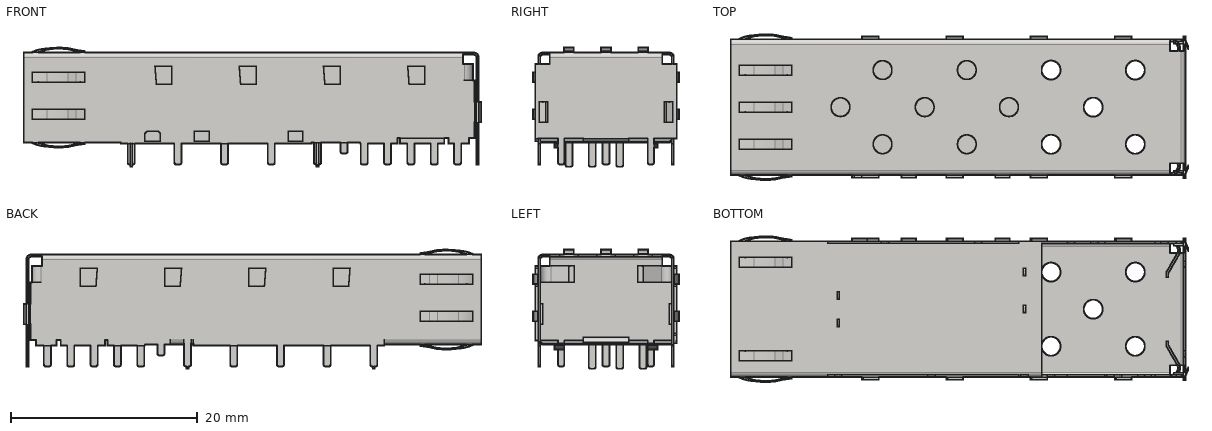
import cadquery as cq
import math

OVERALL_WIDTH = 15.65
OVERALL_HEIGHT = 12.8
SPRING_RISE = 0.55
SHEET = 0.25
FLOOR_SHEET = 0.15
HALF_WIDTH = OVERALL_WIDTH / 2 - SPRING_RISE
HEIGHT = 9.65
BEND_RADIUS = 0.55
WALL_END = 48.25
REAR_FACE = 48.7
FLOOR_END = 33.3

NOTCH_X = 47.05
NOTCH_HALF_WIDTH = 6.05
NOTCH_Z = 8.45
PLATE_HALF_WIDTH = 7.6
PLATE_BOTTOM = 0.45
FLAP_BOTTOM = 6.65
FLAP_RADIUS = 1.0
FLAP_LEAN = 30.0
FLAP_LENGTH = 2.25
FLAP_LIP = 0.45

LOCK_BOTTOM = 2.15
LOCK_TOP = 4.35
LOCK_START = 47.4
LOCK_TIP_X = 49.0
LOCK_TIP_Y = 6.2

SKIRT_Z = -0.1
SKIRT_SPANS = [(10.4, 30.8), (36.0, 40.02), (45.45, 47.65)]
RELIEF_SPANS = [(40.02, 45.45), (47.65, WALL_END)]
RELIEF_Z = 0.5
FAR_TAB_SPAN = (40.25, 45.0)

HOLE_DIAMETER = 2.0
HOLE_PITCH = 9.0
HOLE_COLUMNS = 4
SIDE_ROW_X = 16.25
SIDE_ROW_Y = 3.95
CENTRE_ROW_X = SIDE_ROW_X - HOLE_PITCH / 2

SPRING_WIDTH = 1.1
SPRING_SHEET = 0.15
SPRING_START = 0.95
SPRING_SHOULDER = 2.5
SPRING_PEAK = 3.7
SPRING_DROP = 4.7
SPRING_FOOT = 5.6
SPRING_END = 6.55
SPRING_SHOULDER_RISE = 0.45
SPRING_DROP_RISE = 0.5
SPRING_FOOT_RISE = 0.3
SPRING_CURVE = (1.55, 0.3)
TOP_SPRING_Y = [-SIDE_ROW_Y, 0, SIDE_ROW_Y]
SIDE_SPRING_Z = [3.05, 7.0]
BOTTOM_SPRING_Y = [-5.0, 5.0]

PAD_THICKNESS = 0.3
UPPER_PAD_X = 14.05
UPPER_PAD_WIDTH = 1.8
UPPER_PAD_TAPER = 0.15
UPPER_PAD_BOTTOM = 6.2
UPPER_PAD_TOP = 8.2
LOWER_PAD_BOTTOM = 0.15
LOWER_PAD_TOP = 1.22
LOWER_PAD_SPANS = [(13.0, 14.65), (18.25, 19.85), (28.3, 29.9)]
LOWER_PAD_CHAMFER = 0.25

PIN_WIDTH = 0.8
PIN_TIP_RADIUS = 0.25
PIN_BOTTOM = -2.35
LONG_PIN_BOTTOM = HEIGHT + SPRING_RISE - OVERALL_HEIGHT
SHORT_PIN_BOTTOM = -1.2
NEAR_PIN_X = [16.5, 26.5, 36.45, 38.95, 46.45]
FAR_PIN_X = [11.5, 21.5, 31.45, 41.45, 43.95]
SHORT_PIN_X = 34.3
FLOOR_PINS = [
    (11.5, -1.45, LONG_PIN_BOTTOM),
    (11.5, 1.45, LONG_PIN_BOTTOM),
    (31.45, 0.0, PIN_BOTTOM),
    (31.45, -SIDE_ROW_Y, LONG_PIN_BOTTOM),
]
REAR_PIN_Y = [-4.8, 4.8]
REAR_PIN_WIDTH = 0.7

TONGUE_HALF_WIDTH = 2.45
TONGUE_ROOT = 6.35
TONGUE_CREST = 2.2
TONGUE_TIP = 1.1
TONGUE_TOP = 0.8

OVERLAP = 0.1
CLEAR = 9.8


def block(x_span, y_span, z_span):
    """Box between the given limits on each axis."""
    spans = (x_span, y_span, z_span)
    sizes = [max(span) - min(span) for span in spans]
    corner = cq.Vector(*[min(span) for span in spans])
    return cq.Workplane(cq.Solid.makeBox(*sizes, pnt=corner))


def rounded_body(x_end, half_width, bottom, top, radius, x_start=0.0):
    """Bar along X with both top edges, the far bottom edge and the rear top edge rounded."""
    bar = block((x_start, x_end), (-half_width, half_width), (bottom, top))
    folded_rear = bar.edges("|Y and >X and >Z").fillet(radius)
    bar = bar.edges("|X and >Z").fillet(radius)
    bar = bar.edges("|X and <Z and >Y").fillet(radius)
    return bar.intersect(folded_rear)


def make_shell():
    """Square tube with a short floor, its top folded down into the rear plate."""
    inner_y = HALF_WIDTH - SHEET
    inner_radius = BEND_RADIUS - SHEET
    outer = rounded_body(REAR_FACE, HALF_WIDTH, 0, HEIGHT, BEND_RADIUS)
    inner = rounded_body(REAR_FACE - SHEET, inner_y, FLOOR_SHEET, HEIGHT - SHEET, inner_radius, x_start=-CLEAR)
    shell = outer.cut(inner)

    opening_x = (FLOOR_END, REAR_FACE + CLEAR)
    floor_opening = block(opening_x, (-inner_y, inner_y), (-CLEAR, FLOOR_SHEET))
    far_bend = block(opening_x, (inner_y - BEND_RADIUS, HALF_WIDTH), (-CLEAR, BEND_RADIUS))
    shell = shell.cut(floor_opening).cut(far_bend)
    far_wall_foot = block((FLOOR_END, WALL_END), (inner_y, HALF_WIDTH), (0, BEND_RADIUS))
    shell = shell.union(far_wall_foot)

    rear_gap = block((WALL_END, REAR_FACE - SHEET), (-CLEAR, CLEAR), (-CLEAR, NOTCH_Z))
    under_plate = block((WALL_END, REAR_FACE + CLEAR), (-CLEAR, CLEAR), (-CLEAR, PLATE_BOTTOM))
    shell = shell.cut(rear_gap).cut(under_plate)
    for side in (-1, 1):
        notch_y = (side * NOTCH_HALF_WIDTH, side * CLEAR)
        shell = shell.cut(block((NOTCH_X, REAR_FACE + CLEAR), notch_y, (NOTCH_Z, HEIGHT + CLEAR)))
        wall_y = (side * (inner_y - BEND_RADIUS), side * CLEAR)
        shell = shell.cut(block((NOTCH_X, REAR_FACE - SHEET), wall_y, (FLAP_BOTTOM, NOTCH_Z)))
        for span in RELIEF_SPANS:
            shell = shell.cut(block(span, wall_y, (-CLEAR, RELIEF_Z)))

    plate_x = (REAR_FACE - SHEET, REAR_FACE)
    plate_y = (-PLATE_HALF_WIDTH, PLATE_HALF_WIDTH)
    return shell.union(block(plate_x, plate_y, (PLATE_BOTTOM, NOTCH_Z)))


def make_skirts():
    """Strips that carry the side walls slightly below the floor."""
    inner_y = HALF_WIDTH - SHEET
    skirts = block(FAR_TAB_SPAN, (inner_y, HALF_WIDTH), (SKIRT_Z, RELIEF_Z + OVERLAP))
    for side in (-1, 1):
        for span in SKIRT_SPANS:
            skirts = skirts.union(block(span, (side * inner_y, side * HALF_WIDTH), (SKIRT_Z, BEND_RADIUS)))
    return skirts


def make_holes():
    """Three staggered rows of cooling holes in the top."""
    points = []
    for column in range(HOLE_COLUMNS):
        shift = column * HOLE_PITCH
        points.append((CENTRE_ROW_X + shift, 0))
        points.append((SIDE_ROW_X + shift, -SIDE_ROW_Y))
        points.append((SIDE_ROW_X + shift, SIDE_ROW_Y))
    plane = cq.Workplane("XY").workplane(offset=HEIGHT - 2 * SHEET)
    return plane.pushPoints(points).circle(HOLE_DIAMETER / 2).extrude(4 * SHEET)


def make_spring():
    """Arched strip along X, centred on Y = 0, lying on the plane Z = 0."""
    inner_shoulder = SPRING_SHOULDER_RISE - SPRING_SHEET
    inner_peak = SPRING_RISE - SPRING_SHEET
    return (
        cq.Workplane("XZ")
        .moveTo(SPRING_START, -OVERLAP)
        .lineTo(SPRING_START, OVERLAP / 2)
        .threePointArc(SPRING_CURVE, (SPRING_SHOULDER, SPRING_SHOULDER_RISE))
        .threePointArc((SPRING_PEAK, SPRING_RISE), (SPRING_DROP, SPRING_DROP_RISE))
        .lineTo(SPRING_FOOT, SPRING_FOOT_RISE)
        .lineTo(SPRING_END, SPRING_SHEET)
        .lineTo(SPRING_END, -OVERLAP)
        .lineTo(SPRING_END - SPRING_SHEET, -OVERLAP)
        .lineTo(SPRING_FOOT, SPRING_FOOT_RISE - SPRING_SHEET)
        .lineTo(SPRING_DROP, SPRING_DROP_RISE - SPRING_SHEET)
        .threePointArc((SPRING_PEAK, inner_peak), (SPRING_SHOULDER, inner_shoulder))
        .lineTo(SPRING_START + 2 * SPRING_SHEET, -OVERLAP)
        .close()
        .extrude(SPRING_WIDTH / 2, both=True)
    )


def make_springs():
    """Contact springs around the open end: three on top, two on every other side."""
    base = make_spring()
    springs = cq.Workplane()
    for y in TOP_SPRING_Y:
        springs = springs.add(base.translate((0, y, HEIGHT)))
    for y in BOTTOM_SPRING_Y:
        springs = springs.add(base.mirror("XY").translate((0, y, 0)))
    for side in (-1, 1):
        turned = base.rotate((0, 0, 0), (1, 0, 0), -90 * side)
        for z in SIDE_SPRING_Z:
            springs = springs.add(turned.translate((0, side * HALF_WIDTH, z)))
    return springs.combine()


def make_pads():
    """Tapered pads high on both walls and clinched floor tabs low on the near wall."""
    depth = PAD_THICKNESS + OVERLAP
    near_plane = cq.Workplane("XZ", origin=(0, -HALF_WIDTH + OVERLAP, 0))
    pads = cq.Workplane()
    for column in range(HOLE_COLUMNS):
        left = UPPER_PAD_X + column * HOLE_PITCH
        right = left + UPPER_PAD_WIDTH
        outline = [
            (left, UPPER_PAD_TOP),
            (right, UPPER_PAD_TOP),
            (right, UPPER_PAD_BOTTOM),
            (left + UPPER_PAD_TAPER, UPPER_PAD_BOTTOM),
        ]
        pad = near_plane.polyline(outline).close().extrude(depth)
        pads = pads.add(pad).add(pad.mirror("XZ"))
    near_y = (-HALF_WIDTH + OVERLAP, -HALF_WIDTH - PAD_THICKNESS)
    for index, span in enumerate(LOWER_PAD_SPANS):
        tab = block(span, near_y, (LOWER_PAD_BOTTOM, LOWER_PAD_TOP))
        if index == 0:
            tab = tab.edges("|Y and >Z").chamfer(LOWER_PAD_CHAMFER)
        pads = pads.add(tab)
    return pads.combine()


def make_pin(width, bottom, top):
    """Flat pin, wide along X and one sheet thick along Y, with a rounded tip."""
    pin = block((-width / 2, width / 2), (-SHEET / 2, SHEET / 2), (bottom, top))
    return pin.edges("|Y and <Z").fillet(PIN_TIP_RADIUS)


def make_pins():
    """Solder pins under both walls, the floor and the rear plate."""
    wall_y = HALF_WIDTH - SHEET / 2
    wall_pin = make_pin(PIN_WIDTH, PIN_BOTTOM, RELIEF_Z + OVERLAP)
    pins = cq.Workplane()
    for x in NEAR_PIN_X:
        pins = pins.add(wall_pin.translate((x, -wall_y, 0)))
    for x in FAR_PIN_X:
        pins = pins.add(wall_pin.translate((x, wall_y, 0)))
    short_pin = make_pin(PIN_WIDTH, SHORT_PIN_BOTTOM, RELIEF_Z)
    pins = pins.add(short_pin.translate((SHORT_PIN_X, wall_y, 0)))
    for x, y, bottom in FLOOR_PINS:
        floor_pin = make_pin(PIN_WIDTH, bottom, FLOOR_SHEET).rotate((0, 0, 0), (0, 0, 1), 90)
        pins = pins.add(floor_pin.translate((x, y, 0)))
    rear_pin = make_pin(REAR_PIN_WIDTH, PIN_BOTTOM, PLATE_BOTTOM + OVERLAP)
    rear_pin = rear_pin.rotate((0, 0, 0), (0, 0, 1), 90)
    for y in REAR_PIN_Y:
        pins = pins.add(rear_pin.translate((REAR_FACE - SHEET / 2, y, 0)))
    return pins.combine()


def make_flaps():
    """Kick-out flaps curled inward from the rear of both walls, leaning forward."""
    bend_x = NOTCH_X + OVERLAP
    bend_y = HALF_WIDTH - FLAP_RADIUS
    inner_radius = FLAP_RADIUS - SHEET
    lean = math.radians(FLAP_LEAN)

    def on_bend(radius, angle):
        return (bend_x + radius * math.cos(angle), bend_y + radius * math.sin(angle))

    def along_flap(point):
        return (point[0] - FLAP_LENGTH * math.sin(lean), point[1] - FLAP_LENGTH * math.cos(lean))

    middle = (math.pi / 2 - lean) / 2
    outer_end = on_bend(FLAP_RADIUS, -lean)
    inner_end = on_bend(inner_radius, -lean)
    outer_tip = along_flap(outer_end)
    inner_tip = along_flap(inner_end)
    flap = (
        cq.Workplane("XY", origin=(0, 0, FLAP_BOTTOM))
        .moveTo(NOTCH_X - OVERLAP, HALF_WIDTH)
        .lineTo(bend_x, HALF_WIDTH)
        .threePointArc(on_bend(FLAP_RADIUS, middle), outer_end)
        .lineTo(*outer_tip)
        .lineTo(outer_tip[0], outer_tip[1] - FLAP_LIP)
        .lineTo(inner_tip[0], outer_tip[1] - FLAP_LIP)
        .lineTo(*inner_tip)
        .lineTo(*inner_end)
        .threePointArc(on_bend(inner_radius, middle), (bend_x, HALF_WIDTH - SHEET))
        .lineTo(NOTCH_X - OVERLAP, HALF_WIDTH - SHEET)
        .close()
        .extrude(NOTCH_Z - FLAP_BOTTOM)
    )
    return flap.union(flap.mirror("XZ"))


def make_locks():
    """Wall tabs jogged inward, passing through the rear plate and bent over behind it."""
    inner_y = HALF_WIDTH - SHEET
    outline = [
        (LOCK_START, inner_y + OVERLAP),
        (REAR_FACE, inner_y + OVERLAP),
        (LOCK_TIP_X, LOCK_TIP_Y + SHEET),
        (LOCK_TIP_X, LOCK_TIP_Y),
        (REAR_FACE, inner_y - SHEET),
        (LOCK_START, inner_y - SHEET),
    ]
    plane = cq.Workplane("XY", origin=(0, 0, LOCK_BOTTOM))
    lock = plane.polyline(outline).close().extrude(LOCK_TOP - LOCK_BOTTOM)
    return lock.union(lock.mirror("XZ"))


def make_tongue():
    """Latch tongue rising from the floor towards the open end, with a curled tip."""
    crest_under = TONGUE_TOP - SHEET
    tip_middle = (TONGUE_TIP + TONGUE_CREST) / 2
    return (
        cq.Workplane("XZ")
        .moveTo(TONGUE_ROOT, FLOOR_SHEET)
        .lineTo(TONGUE_CREST, TONGUE_TOP)
        .threePointArc((tip_middle - OVERLAP, TONGUE_TOP - OVERLAP), (TONGUE_TIP, FLOOR_SHEET + OVERLAP))
        .lineTo(TONGUE_TIP + SHEET, FLOOR_SHEET - OVERLAP)
        .lineTo(TONGUE_CREST, crest_under)
        .lineTo(TONGUE_ROOT, FLOOR_SHEET - OVERLAP)
        .close()
        .extrude(TONGUE_HALF_WIDTH, both=True)
    )


result = make_shell().cut(make_holes())
for feature in (
    make_skirts(),
    make_springs(),
    make_pads(),
    make_pins(),
    make_flaps(),
    make_locks(),
    make_tongue(),
):
    result = result.union(feature)